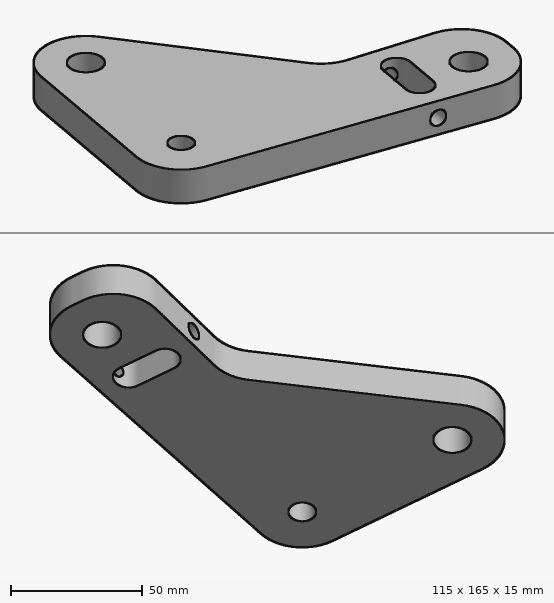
import cadquery as cq
import math

thickness = 15.0
corner_radius = 20.0
lower_right_x = 70.0
upper_hole_x = 75.0
upper_y = 125.0
neck_left_x = 50.0

large_hole_diameter = 14.5
small_hole_diameter = 10.5
slot_length = 28.9
slot_width = 12.0
slot_x = 72.0
slot_y = 100.0
cross_hole_diameter = 7.0

neck_right_x = upper_hole_x + corner_radius


def arc_point(center, angle):
    """Point on a corner circle at an angle in degrees."""
    turn = math.radians(angle)
    return (
        center[0] + corner_radius * math.cos(turn),
        center[1] + corner_radius * math.sin(turn),
    )


def make_plate():
    """Extrude the outline of tangent lines and equal corner arcs."""
    lower_left = (0, 0)
    lower_right = (lower_right_x, 0)
    upper_right = (upper_hole_x, upper_y)
    upper_left = (neck_left_x + corner_radius, upper_y)

    right_angle = -math.degrees(math.atan2(upper_hole_x - lower_right_x, upper_y))
    left_angle = 135

    inside_x = neck_left_x - corner_radius
    inside_corner = (inside_x, inside_x + 2 * corner_radius * math.sqrt(2))
    inside_angle = left_angle - 180

    outline = (
        cq.Workplane("XY")
        .moveTo(*arc_point(lower_left, -90))
        .lineTo(*arc_point(lower_right, -90))
        .threePointArc(
            arc_point(lower_right, (right_angle - 90) / 2), arc_point(lower_right, right_angle)
        )
        .lineTo(*arc_point(upper_right, right_angle))
        .threePointArc(
            arc_point(upper_right, (right_angle + 90) / 2), arc_point(upper_right, 90)
        )
        .lineTo(*arc_point(upper_left, 90))
        .threePointArc(arc_point(upper_left, left_angle), arc_point(upper_left, 180))
        .lineTo(*arc_point(inside_corner, 0))
        .threePointArc(
            arc_point(inside_corner, inside_angle / 2), arc_point(inside_corner, inside_angle)
        )
        .lineTo(*arc_point(lower_left, left_angle))
        .threePointArc(arc_point(lower_left, (left_angle + 270) / 2), arc_point(lower_left, -90))
        .close()
    )
    return outline.extrude(thickness)


def make_hole(x, y, diameter):
    """Cutter for a round hole through the thickness."""
    return cq.Workplane("XY").center(x, y).circle(diameter / 2).extrude(thickness)


def make_slot():
    """Cutter for the round-ended slot across the neck."""
    return cq.Workplane("XY").center(slot_x, slot_y).slot2D(slot_length, slot_width).extrude(thickness)


def make_cross_hole():
    """Cutter for the hole along X through the neck and the slot."""
    return (
        cq.Workplane("YZ", origin=(neck_left_x, slot_y, thickness / 2))
        .circle(cross_hole_diameter / 2)
        .extrude(neck_right_x - neck_left_x)
    )


result = (
    make_plate()
    .cut(make_hole(0, 0, large_hole_diameter))
    .cut(make_hole(lower_right_x, 0, small_hole_diameter))
    .cut(make_hole(upper_hole_x, upper_y, large_hole_diameter))
    .cut(make_slot())
    .cut(make_cross_hole())
)